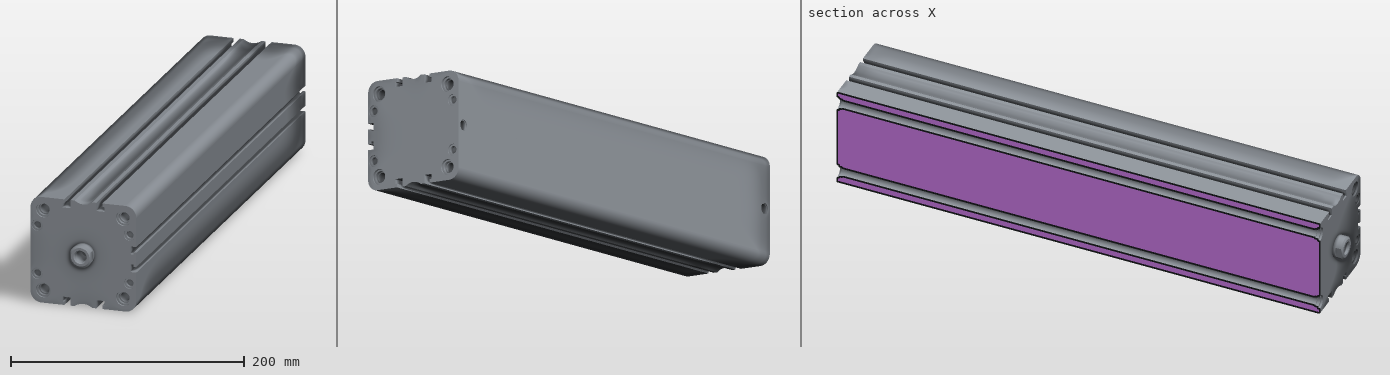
import cadquery as cq

side = 95.5
total_length = 463.0
rod_projection = 9.0
cap_length = 15.5
half = side / 2
body_length = total_length - rod_projection
rod_tip = -total_length / 2
front_face = rod_tip + rod_projection
rear_face = total_length / 2

corner_radius = 9.5

slot_near = 11.5
slot_far = 17.0
slot_depth = 7.5
lip_thickness = 3.2
side_slot_near = 6.5
side_slot_far = 11.5
side_slot_depth = 5.5
side_lip_thickness = 2.5
undercut = 2.0

groove_half_width = 8.0
groove_depth = 3.0

mount_offset = 36.0
mount_diameter = 8.5
mount_recess_diameter = 13.5
mount_recess_depth = 2.0
mount_step_diameter = 10.0
mount_step_depth = 4.5

screw_x = 41.5
screw_z = 21.8
screw_recess_diameter = 10.0
screw_recess_depth = 1.0
socket_diameter = 6.5
socket_depth = 3.0

port_mouth_diameter = 9.5
port_mouth_depth = 1.0
port_thread_diameter = 8.5
port_thread_depth = 7.0
port_bore_diameter = 5.0
port_bore_depth = 11.5

rod_diameter = 20.5
rod_chamfer_length = 1.5
rod_chamfer_width = 2.0
rod_flat_width = 18.0
rod_flat_gap = 2.5
thread_diameter = 10.0
thread_depth = 18.5
thread_countersink_diameter = 12.0


def base_block():
    """Square bar with rounded long edges."""
    return (
        cq.Workplane("XZ", origin=(0, front_face, 0))
        .rect(side, side)
        .extrude(-body_length)
        .edges("|Y")
        .fillet(corner_radius)
    )


def slot_cutter(near, far, depth, lip, undercut_sign):
    """Full-length slot in the top side, undercut below its lip on one side."""
    under_near = near - undercut if undercut_sign < 0 else near
    under_far = far + undercut if undercut_sign > 0 else far
    height = depth - lip
    mouth = cq.Workplane("XY").box(far - near, body_length, depth, centered=False)
    foot = cq.Workplane("XY").box(under_far - under_near, body_length, height, centered=False)
    floor = half - depth
    mouth = mouth.translate((near, front_face, floor))
    foot = foot.translate((under_near, front_face, floor))
    return mouth.union(foot)


def groove_cutter():
    """Full-length shallow round groove along the middle of the top side."""
    return (
        cq.Workplane("XZ", origin=(0, front_face, 0))
        .moveTo(-groove_half_width, half)
        .threePointArc((0, half - groove_depth), (groove_half_width, half))
        .close()
        .extrude(-body_length)
    )


def mirrored_pair(cutter):
    """The cutter together with its mirror image across the YZ plane."""
    return cutter.union(cutter.mirror("YZ"))


def cut_profile_grooves(body):
    """Slots and grooves on the top and bottom, and slots on the +X side."""
    top_slot = slot_cutter(slot_near, slot_far, slot_depth, lip_thickness, 1)
    top = mirrored_pair(top_slot).union(groove_cutter())
    side_slot = slot_cutter(side_slot_near, side_slot_far, side_slot_depth, side_lip_thickness, -1)
    side_pair = mirrored_pair(side_slot).rotate((0, 0, 0), (0, 1, 0), 90)
    return body.cut(top).cut(top.mirror("XY")).cut(side_pair)


def end_drill(diameter, depth, points):
    """Round cutters entering the front face and, mirrored, the rear face."""
    front = (
        cq.Workplane("XZ", origin=(0, front_face, 0))
        .pushPoints(points)
        .circle(diameter / 2)
        .extrude(-depth)
    )
    middle = (front_face + rear_face) / 2
    return front.union(front.mirror("XZ", (0, middle, 0)))


def four_points(x, z):
    return [(x, z), (-x, z), (x, -z), (-x, -z)]


def cut_end_holes(body):
    """Stepped through holes in the corners and blind screw recesses beside them."""
    mounts = four_points(mount_offset, mount_offset)
    screws = four_points(screw_x, screw_z)
    body = body.cut(end_drill(mount_diameter, body_length, mounts))
    body = body.cut(end_drill(mount_recess_diameter, mount_recess_depth, mounts))
    body = body.cut(end_drill(mount_step_diameter, mount_step_depth, mounts))
    body = body.cut(end_drill(screw_recess_diameter, screw_recess_depth, screws))
    return body.cut(end_drill(socket_diameter, screw_recess_depth + socket_depth, screws))


def cut_ports(body):
    """One stepped air port in the -X side at each end cap."""
    steps = (
        (port_mouth_diameter, port_mouth_depth),
        (port_thread_diameter, port_thread_depth),
        (port_bore_diameter, port_bore_depth),
    )
    for y in (front_face + cap_length / 2, rear_face - cap_length / 2):
        for diameter, depth in steps:
            port = cq.Workplane("YZ", origin=(-half, y, 0)).circle(diameter / 2).extrude(depth)
            body = body.cut(port)
    return body


def rod_end():
    """Chamfered rod end with two wrench flats."""
    rod = (
        cq.Workplane("XZ", origin=(0, front_face, 0))
        .circle(rod_diameter / 2)
        .extrude(rod_projection)
        .faces("<Y")
        .chamfer(rod_chamfer_length, rod_chamfer_width)
    )
    flat_length = rod_projection - rod_flat_gap
    flats = (
        cq.Workplane("XY", origin=(rod_flat_width / 2, rod_tip, 0))
        .box(rod_diameter, flat_length, rod_diameter, centered=(False, False, True))
    )
    return rod.cut(mirrored_pair(flats))


def cut_rod_thread(body):
    """Blind countersunk hole in the rod end."""
    sink = (thread_countersink_diameter - thread_diameter) / 2
    bore = (
        cq.Workplane("XZ", origin=(0, rod_tip, 0))
        .circle(thread_diameter / 2)
        .extrude(-thread_depth)
    )
    mouth = cq.Workplane("XZ", origin=(0, rod_tip, 0)).circle(thread_countersink_diameter / 2)
    mouth = mouth.workplane(offset=-sink).circle(thread_diameter / 2).loft()
    return body.cut(bore).cut(mouth)


body = base_block()
body = cut_profile_grooves(body)
body = cut_end_holes(body)
body = cut_ports(body)
result = cut_rod_thread(body.union(rod_end()))